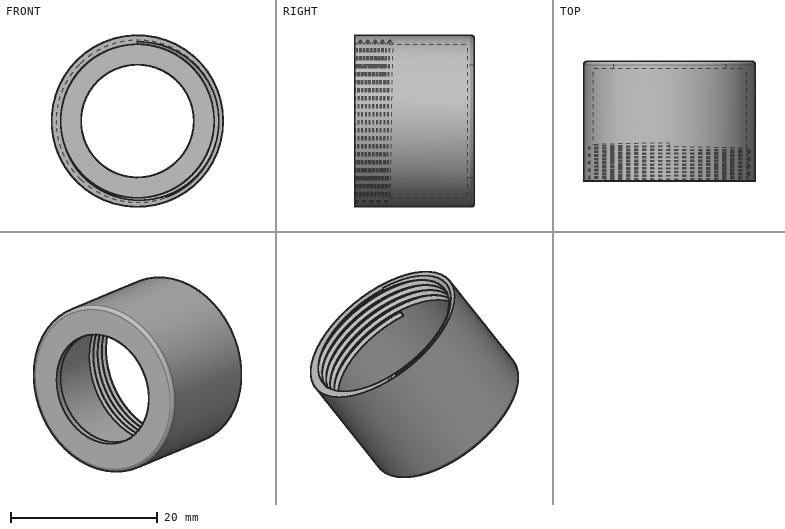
import cadquery as cq

outer_diameter = 23.5
length = 16.4
bore_diameter = 21.0
hole_diameter = 15.4
floor_thickness = 1.0
rim_fillet = 0.5

pitch = 1.0
thread_turns = 5
groove_depth = 0.63
root_flat = 0.12
crest_flat = 0.1
root_overlap = 0.12

bore_radius = bore_diameter / 2
groove_width = pitch - crest_flat


def cap_body():
    """Cup along Z with its mouth at the top and a hole through its floor."""
    body = cq.Workplane("XY").circle(outer_diameter / 2).extrude(length)
    body = body.faces("<Z").edges().fillet(rim_fillet)
    bore = cq.Workplane("XY").workplane(offset=floor_thickness).circle(bore_radius).extrude(length)
    hole = cq.Workplane("XY").circle(hole_diameter / 2).extrude(length)
    return body.cut(bore).cut(hole)


def thread_cutter():
    """Helical V cutter whose root leaves the mouth a quarter turn after its start at +Y."""
    start_height = length + pitch / 4
    thread_height = thread_turns * pitch
    flank_slope = (groove_width - root_flat) / 2 / groove_depth
    inner_half_width = groove_width / 2 + root_overlap * flank_slope
    root_radius = bore_radius + groove_depth
    inner_radius = bore_radius - root_overlap
    helix = cq.Wire.makeHelix(pitch, thread_height, bore_radius)
    cutter = (
        cq.Workplane("XZ")
        .moveTo(inner_radius, -inner_half_width)
        .lineTo(root_radius, -root_flat / 2)
        .lineTo(root_radius, root_flat / 2)
        .lineTo(inner_radius, inner_half_width)
        .close()
        .sweep(cq.Workplane(helix), isFrenet=True)
    )
    cutter = cutter.rotate((0, 0, 0), (0, 0, 1), 90)
    return cutter.translate((0, 0, start_height - thread_height))


threaded_cap = cap_body().cut(thread_cutter())
result = threaded_cap.rotate((0, 0, 0), (1, 0, 0), 90).translate((0, length / 2, 0))